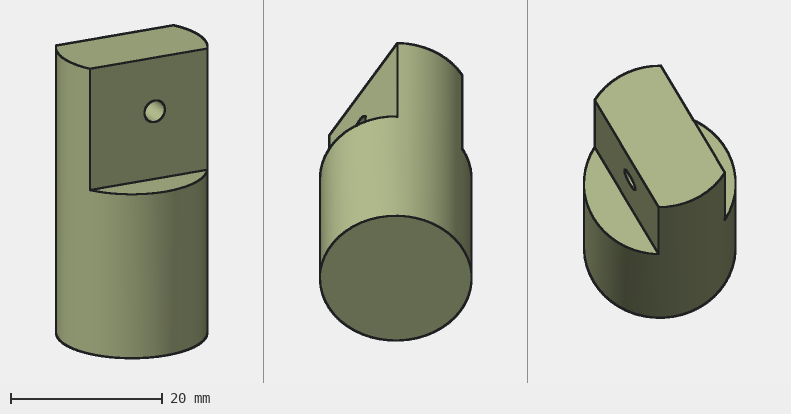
import cadquery as cq

body_diameter = 20.0
total_height = 40.0
tongue_thickness = body_diameter / 2
tongue_height = 17.0
hole_diameter = 3.0
hole_drop = 7.5
hole_offset = 0.9

shoulder_height = total_height - tongue_height


def make_body():
    """Full-height round bar standing on the XY plane."""
    return cq.Workplane("XY").circle(body_diameter / 2).extrude(total_height)


def make_flat_cutter(side):
    """Block that removes the bar outside one face of the tongue (side is -1 or +1)."""
    return (
        cq.Workplane("XY", origin=(side * tongue_thickness / 2, 0, shoulder_height))
        .box(body_diameter, body_diameter, tongue_height, centered=(False, True, False))
        .translate((0 if side > 0 else -body_diameter, 0, 0))
    )


def make_hole_cutter():
    """Cross pin running along X through the tongue."""
    hole_z = total_height - hole_drop
    return (
        cq.Workplane("YZ", origin=(0, hole_offset, hole_z))
        .circle(hole_diameter / 2)
        .extrude(tongue_thickness, both=True)
    )


result = make_body()
for side in (-1, 1):
    result = result.cut(make_flat_cutter(side))
result = result.cut(make_hole_cutter())